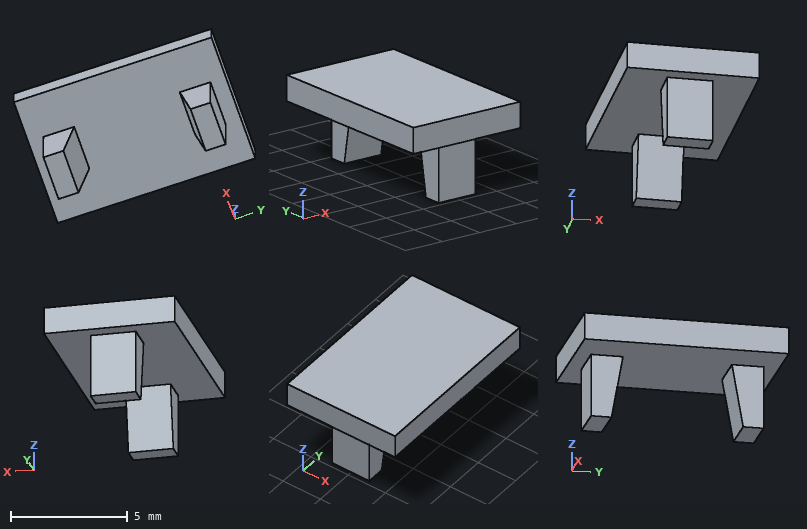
import cadquery as cq
import math

plate_width = 5.8
plate_length = 9.0
plate_thickness = 1.2

overall_height = 4.0
leg_height = overall_height - plate_thickness
leg_width = 2.0
leg_root_depth = 1.4
leg_end_inset = 0.7
leg_taper_angle = 10.0

leg_tip_depth = leg_root_depth - leg_height * math.tan(math.radians(leg_taper_angle))
leg_outer_y = plate_length / 2 - leg_end_inset


def make_plate():
    return cq.Workplane("XY").box(
        plate_width, plate_length, plate_thickness, centered=(True, True, False)
    )


def make_leg(end):
    """Leg at the +Y end (end = 1) or the -Y end (end = -1), narrowing toward its tip."""
    return (
        cq.Workplane("YZ")
        .moveTo(end * leg_outer_y, 0)
        .lineTo(end * leg_outer_y, -leg_height)
        .lineTo(end * (leg_outer_y - leg_tip_depth), -leg_height)
        .lineTo(end * (leg_outer_y - leg_root_depth), 0)
        .close()
        .extrude(leg_width / 2, both=True)
    )


result = make_plate()
for end in (-1, 1):
    result = result.union(make_leg(end))